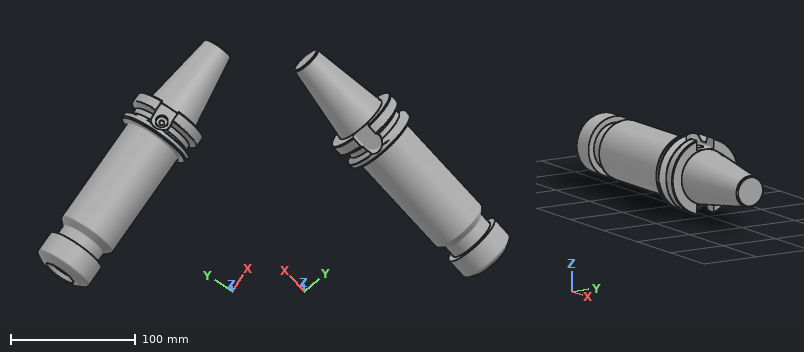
import cadquery as cq
import math

LENGTH = 225.5

nut_radius = 25.0
nut_length = 22.8
nut_face_radius = 17.5
nut_cone_angle = 30.0
nut_face_rounding = 1.5
nut_rim_rounding = 2.3

neck_radius = 40.0 / 2
body_radius = 25.0
shoulder_start = 33.4
neck_rounding = 1.1
shoulder_rounding = 1.5

flange_radius = 31.5
flange_front = 133.0
flange_rear = 158.0
flange_front_chamfer = 1.1
flange_rear_chamfer = 0.7

undercut_length = 3.2
undercut_depth = 0.11
undercut_radius = 28.2
undercut_rounding = 2.0

groove_centre = 143.4
groove_floor_width = 5.0
groove_floor_radius = 26.4
groove_wall_angle = 30.0
groove_rim_rounding = 0.5

taper_start_radius = 22.5
taper_slope = 7 / 48
taper_end_chamfer = 1.0

bore_radius = 23.5 / 2
bore_mouth_radius = 13.3
bore_mouth_depth = 4.3
bore_depth = 40.5
bore_groove_radius = 37.9 / 2
bore_groove_start = 7.7
bore_groove_end = 10.8

slot_half_width = 8.1
slot_end_centre = 144.3
slot_floor_height = 22.5
slot_floor_rounding = 1.0
slot_overrun = 2.3

slot_hole_position = 145.4
slot_hole_diameter = 10.0
slot_hole_depth = 4.5
pilot_diameter = 4.0
pilot_depth = 0.7
drill_point_angle = 118.0


def revolved(corners):
    """Revolve an outline of (x, radius, rounding) corners about X; zero rounding is a sharp corner."""
    outline = None
    for index, (x, radius, rounding) in enumerate(corners):
        corner = cq.Vector(x, radius)
        stops = [corner]
        if rounding > 0:
            before = cq.Vector(*corners[index - 1][:2])
            after = cq.Vector(*corners[(index + 1) % len(corners)][:2])
            back = (before - corner).normalized()
            ahead = (after - corner).normalized()
            half_angle = back.getAngle(ahead) / 2
            tangent_length = rounding / math.tan(half_angle)
            middle_distance = rounding / math.sin(half_angle) - rounding
            middle = corner + (back + ahead).normalized() * middle_distance
            stops = [corner + back * tangent_length, middle, corner + ahead * tangent_length]
        if outline is None:
            outline = cq.Workplane("XY").moveTo(stops[0].x, stops[0].y)
        else:
            outline = outline.lineTo(stops[0].x, stops[0].y)
        if len(stops) > 1:
            outline = outline.threePointArc(stops[1].toTuple()[:2], stops[2].toTuple()[:2])
    return outline.close().revolve(360, (0, 0, 0), (1, 0, 0))


def make_holder():
    nut_cone_length = (nut_radius - nut_face_radius) * math.tan(math.radians(nut_cone_angle))
    shoulder_end = shoulder_start + body_radius - neck_radius
    groove_wall_length = (flange_radius - groove_floor_radius) * math.tan(math.radians(groove_wall_angle))
    groove_floor_front = groove_centre - groove_floor_width / 2
    groove_floor_rear = groove_centre + groove_floor_width / 2
    taper_end_radius = taper_start_radius - taper_slope * (LENGTH - flange_rear)
    return revolved([
        (0, 0, 0),
        (0, nut_face_radius, nut_face_rounding),
        (nut_cone_length, nut_radius, nut_rim_rounding),
        (nut_length, nut_radius, 0),
        (nut_length, neck_radius, 0),
        (shoulder_start, neck_radius, neck_rounding),
        (shoulder_end, body_radius, shoulder_rounding),
        (flange_front - undercut_length, body_radius, 0),
        (flange_front + undercut_depth, body_radius - undercut_depth, undercut_rounding),
        (flange_front, undercut_radius, 0),
        (flange_front, flange_radius - flange_front_chamfer, 0),
        (flange_front + flange_front_chamfer, flange_radius, 0),
        (groove_floor_front - groove_wall_length, flange_radius, groove_rim_rounding),
        (groove_floor_front, groove_floor_radius, 0),
        (groove_floor_rear, groove_floor_radius, 0),
        (groove_floor_rear + groove_wall_length, flange_radius, groove_rim_rounding),
        (flange_rear - flange_rear_chamfer, flange_radius, 0),
        (flange_rear, flange_radius - flange_rear_chamfer, 0),
        (flange_rear, taper_start_radius, 0),
        (LENGTH - taper_end_chamfer, taper_end_radius + taper_slope * taper_end_chamfer, 0),
        (LENGTH, taper_end_radius - taper_end_chamfer, 0),
        (LENGTH, 0, 0),
    ])


def make_bore():
    return revolved([
        (0, 0, 0),
        (0, bore_mouth_radius, 0),
        (bore_mouth_depth, bore_radius, 0),
        (bore_groove_start, bore_radius, 0),
        (bore_groove_start, bore_groove_radius, 0),
        (bore_groove_end, bore_groove_radius, 0),
        (bore_groove_end, bore_radius, 0),
        (bore_depth, bore_radius, 0),
        (bore_depth, 0, 0),
    ])


def make_upper_slot():
    height = flange_radius - slot_floor_height + slot_overrun
    straight_length = flange_rear - slot_end_centre + slot_overrun
    floor = cq.Workplane("XY", origin=(slot_end_centre, 0, slot_floor_height))
    return (
        floor.moveTo(0, -slot_half_width)
        .lineTo(straight_length, -slot_half_width)
        .lineTo(straight_length, slot_half_width)
        .lineTo(0, slot_half_width)
        .threePointArc((-slot_half_width, 0), (0, -slot_half_width))
        .close()
        .extrude(height)
        .faces("<Z").edges("not >X").fillet(slot_floor_rounding)
    )


def make_slot_hole():
    pilot_radius = pilot_diameter / 2
    point_depth = pilot_radius / math.tan(math.radians(drill_point_angle / 2))
    floor = cq.Workplane("XY", origin=(slot_hole_position, 0, slot_floor_height))
    wide_part = floor.circle(slot_hole_diameter / 2).extrude(-slot_hole_depth)
    pilot_top = slot_floor_height - slot_hole_depth
    pilot = (
        cq.Workplane("XZ", origin=(slot_hole_position, 0, pilot_top))
        .polyline([(0, 0), (pilot_radius, 0), (pilot_radius, -pilot_depth), (0, -pilot_depth - point_depth)])
        .close()
        .revolve(360, (0, 0, 0), (0, 1, 0))
    )
    return wide_part.union(pilot)


upper_slot = make_upper_slot()
lower_slot = upper_slot.mirror("XY")
result = make_holder().cut(make_bore()).cut(upper_slot).cut(lower_slot).cut(make_slot_hole())